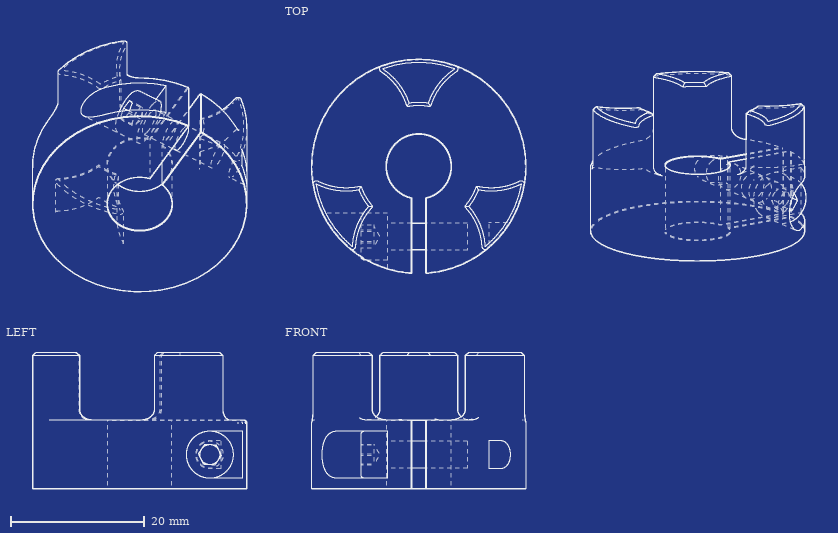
import cadquery as cq
import math

HUB_RADIUS = 16.1
HUB_HEIGHT = 20.5
DISC_HEIGHT = 10.4
BORE_RADIUS = 4.83
SLIT_WIDTH = 2.05
EDGE_BREAK = 0.1
TOLERANCE = 0.003

JAW_COUNT = 3
FIRST_GAP_ANGLE = 30.0
GAP_RADIUS = 9.5
GAP_CENTRE_RADIUS = 12.55
CENTRAL_POCKET_RADIUS = 9.15
ROOT_FILLET = 1.5
RIM_FILLET = 0.5
INNER_CORNER_FILLET = 0.2
JAW_CHAMFER = 0.48

SCREW_Y = -10.5
SCREW_Z = 5.2
HEAD_DIAMETER = 7.05
HEAD_LENGTH = 4.02
HEAD_FILLET = 0.58
SEAT_X = -4.67
SHANK_DIAMETER = 4.02
SHANK_END_X = 7.35
EXIT_SLOT_X = 10.53
EXIT_SLOT_WIDTH = 4.22
SOCKET_ACROSS_FLATS = 3.0
SOCKET_DEPTH = 2.0
SOCKET_TURN = 4.0
DRILL_POINT_DEPTH = 0.87


def jaw_gap(radius, centre_x, centre_y):
    """Round pocket above the disc, with a rounded floor edge."""
    return (
        cq.Workplane("XY", origin=(centre_x, centre_y, DISC_HEIGHT))
        .circle(radius)
        .extrude(HUB_HEIGHT)
        .faces("<Z")
        .edges()
        .fillet(ROOT_FILLET)
    )


def jaw_blank():
    """Disc and jaws, with rounded outer rims and chamfered jaw tops."""
    blank = cq.Workplane("XY").circle(HUB_RADIUS).extrude(HUB_HEIGHT)
    blank = blank.cut(jaw_gap(CENTRAL_POCKET_RADIUS, 0, 0))
    for index in range(JAW_COUNT):
        angle = math.radians(FIRST_GAP_ANGLE + index * 360 / JAW_COUNT)
        centre_x = GAP_CENTRE_RADIUS * math.cos(angle)
        centre_y = GAP_CENTRE_RADIUS * math.sin(angle)
        blank = blank.cut(jaw_gap(GAP_RADIUS, centre_x, centre_y))

    rim_edges = [
        edge
        for edge in blank.edges().vals()
        if on_outer_wall(edge) and DISC_HEIGHT / 2 < edge.Center().z < HUB_HEIGHT - JAW_CHAMFER / 2
    ]
    blank = blank.newObject(rim_edges).fillet(RIM_FILLET)
    blank = blank.faces(">Z").edges().chamfer(JAW_CHAMFER)
    inner_corners = [edge for edge in blank.edges("|Z").vals() if on_inner_corner(edge)]
    return blank.newObject(inner_corners).fillet(INNER_CORNER_FILLET)


def on_outer_wall(edge):
    """True when both ends and the middle of an edge lie on the hub's outer cylinder."""
    points = [edge.positionAt(fraction) for fraction in (0, 0.5, 1)]
    return all(abs(math.hypot(point.x, point.y) - HUB_RADIUS) < TOLERANCE for point in points)


def on_inner_corner(edge):
    """True for an upright edge on the jaws' inner wall."""
    middle = edge.Center()
    return abs(math.hypot(middle.x, middle.y) - CENTRAL_POCKET_RADIUS) < TOLERANCE


def rod(diameter, start_x, end_x):
    """Round bar on the screw axis."""
    return (
        cq.Workplane("YZ", origin=(start_x, SCREW_Y, SCREW_Z))
        .circle(diameter / 2)
        .extrude(end_x - start_x)
    )


def side_slot(width, start_x, end_x):
    """Round-bottomed slot along the screw axis, open towards -Y."""
    opening = cq.Workplane("XY").box(
        end_x - start_x, HUB_RADIUS, width, centered=(False, False, True)
    ).translate((start_x, SCREW_Y - HUB_RADIUS, SCREW_Z))
    return rod(width, start_x, end_x).union(opening)


def is_broken_edge(edge):
    """True on the bottom face, around the top of bore and slit, and where the slit meets the outer wall."""
    middle = edge.Center()
    on_bottom = abs(middle.z) < TOLERANCE
    on_slit_wall = abs(abs(middle.x) - SLIT_WIDTH / 2) < TOLERANCE
    slit_mouth = on_slit_wall and middle.y < SCREW_Y / 2
    on_disc_top = abs(middle.z - DISC_HEIGHT) < TOLERANCE
    bore_rim = on_disc_top and math.hypot(middle.x, middle.y) < BORE_RADIUS
    return on_bottom or slit_mouth or bore_rim


def make_hub():
    hub = jaw_blank()
    bore = cq.Workplane("XY").circle(BORE_RADIUS).extrude(HUB_HEIGHT)
    slit = cq.Workplane("XY").box(
        SLIT_WIDTH, 2 * HUB_RADIUS, HUB_HEIGHT, centered=(True, False, False)
    ).translate((0, -2 * HUB_RADIUS, 0))
    hub = hub.cut(bore).cut(slit)
    broken_edges = [edge for edge in hub.edges().vals() if is_broken_edge(edge)]
    hub = hub.newObject(broken_edges).chamfer(EDGE_BREAK)
    hub = hub.cut(side_slot(HEAD_DIAMETER, -HUB_RADIUS, SEAT_X))
    hub = hub.cut(side_slot(EXIT_SLOT_WIDTH, EXIT_SLOT_X, HUB_RADIUS))
    return hub.cut(rod(SHANK_DIAMETER, SEAT_X, SHANK_END_X))


def make_screw():
    head_x = SEAT_X - HEAD_LENGTH
    head = rod(HEAD_DIAMETER, head_x, SEAT_X).faces("<X").edges().fillet(HEAD_FILLET)
    screw = head.union(rod(SHANK_DIAMETER, SEAT_X, SHANK_END_X))

    across_corners = SOCKET_ACROSS_FLATS / math.cos(math.radians(30))
    socket = (
        cq.Workplane("YZ", origin=(head_x, SCREW_Y, SCREW_Z))
        .transformed(rotate=(0, 0, SOCKET_TURN))
        .polygon(6, across_corners)
        .extrude(SOCKET_DEPTH)
    )
    drill_point = cq.Workplane(
        cq.Solid.makeCone(
            SOCKET_ACROSS_FLATS / 2,
            0,
            DRILL_POINT_DEPTH,
            pnt=cq.Vector(head_x + SOCKET_DEPTH, SCREW_Y, SCREW_Z),
            dir=cq.Vector(1, 0, 0),
        )
    )
    return screw.cut(socket).cut(drill_point)


hub = make_hub()
clamp_screw = make_screw()
result = cq.Compound.makeCompound([hub.val(), clamp_screw.val()])